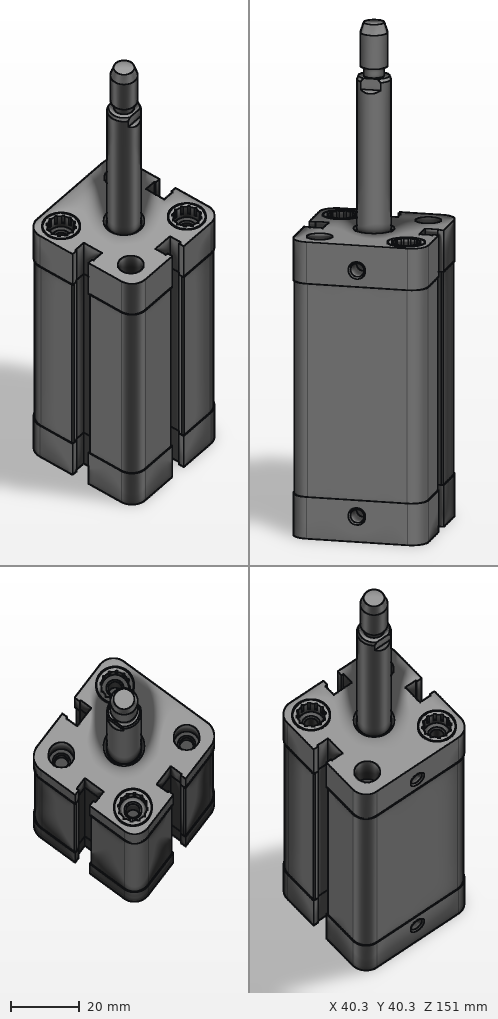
import cadquery as cq

TOTAL_HEIGHT = 151.0
CAP_WIDTH = 40.3
BARREL_WIDTH = 39.9
CORNER_RADIUS = 5.0
CYLINDER_HEIGHT = 89.1
CAP_HEIGHT = 12.5
FRONT_CAP_BOTTOM = CYLINDER_HEIGHT - CAP_HEIGHT

Y_SLOT_MOUTH_WIDTH = 5.9
X_SLOT_MOUTH_WIDTH = 5.3
SLOT_INNER_WIDTH = 6.8
SLOT_DEPTH = 5.7
SLOT_LIP = 1.8
BARREL_MOUTH_CHAMFER = 0.5
Y_SLOT_ANGLES = (90, 270)

THREAD_CORE_DIAMETER = 4.1
THREAD_RIM_DIAMETER = 5.1

HOLE_OFFSET = 13.0
HOLE_DIAMETER = 7.5
HOLE_DEPTH = 9.0
RING_GROOVE_DIAMETER = 11.2
RING_GROOVE_INNER_DIAMETER = 10.7
RING_GROOVE_DEPTH = 0.5
SOCKET_DIAMETER = 8.0
SOCKET_DEPTH = 4.2
FLUTE_DEPTH = 2.9
FLUTE_COUNT = 12
FLUTE_DIAMETER = 0.8
PLAIN_CORNERS = ((-1, 1), (1, -1))
SOCKET_CORNERS = ((-1, -1), (1, 1))

PORT_DEPTH = 7.5
REAR_PORT_HEIGHT = 7.7
FRONT_PORT_HEIGHT = 81.5

ROD_DIAMETER = 10.0
ROD_RECESS_DIAMETER = 10.4
ROD_RECESS_DEPTH = 1.5
ROD_RIM_DIAMETER = 12.0
STUD_DIAMETER = 8.0
STUD_CHAMFER_HEIGHT = 3.0
STUD_UNDERCUT_HEIGHT = 0.3
NECK_DIAMETER = 6.0
SHOULDER_HEIGHT = 135.0
NECK_LENGTH = 2.5
TIP_DIAMETER = NECK_DIAMETER
SHOULDER_CHAMFER_WIDTH = 0.5
SHOULDER_CHAMFER_HEIGHT = 1.0
FLAT_SPACING = 8.0
FLAT_LENGTH = 3.3


def rounded_block(width, bottom, height):
    """Square block with rounded upright edges, centred on the Z axis."""
    return (
        cq.Workplane("XY", origin=(0, 0, bottom))
        .rect(width, width)
        .extrude(height)
        .edges("|Z")
        .fillet(CORNER_RADIUS)
    )


def slot_cutter(width, bottom, height, mouth_width, mouth_chamfer):
    """Cutter for one upright slot opening toward +X in a block of the given width."""
    face = width / 2
    floor = CAP_WIDTH / 2 - SLOT_DEPTH
    lip = CAP_WIDTH / 2 - SLOT_LIP
    mouth = mouth_width / 2
    inner = SLOT_INNER_WIDTH / 2
    half_outline = [(floor, inner), (lip, inner), (lip, mouth)]
    if mouth_chamfer > 0:
        half_outline.append((face - mouth_chamfer, mouth))
    half_outline.append((face, mouth + mouth_chamfer))
    mirrored = [(x, -y) for x, y in reversed(half_outline)]
    return (
        cq.Workplane("XY", origin=(0, 0, bottom))
        .polyline(half_outline + mirrored)
        .close()
        .extrude(height)
    )


def slotted_block(width, bottom, height, mouth_chamfer=0.0):
    """Rounded block with the three sensor slots cut along its full height."""
    block = rounded_block(width, bottom, height)
    block = block.cut(slot_cutter(width, bottom, height, X_SLOT_MOUTH_WIDTH, mouth_chamfer))
    cutter = slot_cutter(width, bottom, height, Y_SLOT_MOUTH_WIDTH, mouth_chamfer)
    for angle in Y_SLOT_ANGLES:
        block = block.cut(cutter.rotate((0, 0, 0), (0, 0, 1), angle))
    return block


def revolved(profile):
    """Solid of revolution about the Z axis from (radius, height) points."""
    return cq.Workplane("XZ").polyline(profile).close().revolve(360, (0, 0, 0), (0, 1, 0))


def hole_cutter(x, y, top, diameter, depth):
    """Round cutter going down from the given height."""
    return cq.Workplane("XY", origin=(x, y, top)).circle(diameter / 2).extrude(-depth)


def countersunk_cutter(depth):
    """Threaded hole going down from the origin, with a 45 degree countersink."""
    rim = THREAD_RIM_DIAMETER / 2
    core = THREAD_CORE_DIAMETER / 2
    profile = [(0, 0), (rim, 0), (core, core - rim), (core, -depth), (0, -depth)]
    return revolved(profile)


def port_cutter(height):
    """Air port entering from the -X side."""
    port = countersunk_cutter(PORT_DEPTH).rotate((0, 0, 0), (0, 1, 0), -90)
    return port.translate((-CAP_WIDTH / 2, 0, height))


def make_rear_cap():
    cap = slotted_block(CAP_WIDTH, 0, CAP_HEIGHT)
    return cap.cut(port_cutter(REAR_PORT_HEIGHT))


def make_barrel():
    height = FRONT_CAP_BOTTOM - CAP_HEIGHT
    return slotted_block(BARREL_WIDTH, CAP_HEIGHT, height, BARREL_MOUTH_CHAMFER)


def stepped_hole_cutter(x, y, diameter, depth):
    """Round hole with a threaded hole in its floor, leading down through the cap."""
    hole = hole_cutter(x, y, CYLINDER_HEIGHT, diameter, depth)
    thread = countersunk_cutter(CAP_HEIGHT - depth).translate((x, y, CYLINDER_HEIGHT - depth))
    return hole.union(thread)


def socket_cutter(x, y):
    """Fluted socket above a stepped hole, with a thin ring groove around it."""
    groove = hole_cutter(x, y, CYLINDER_HEIGHT, RING_GROOVE_DIAMETER, RING_GROOVE_DEPTH)
    groove = groove.cut(
        hole_cutter(x, y, CYLINDER_HEIGHT, RING_GROOVE_INNER_DIAMETER, RING_GROOVE_DEPTH)
    )
    flutes = (
        cq.Workplane("XY", origin=(x, y, CYLINDER_HEIGHT))
        .polarArray(SOCKET_DIAMETER / 2, 0, 360, FLUTE_COUNT)
        .circle(FLUTE_DIAMETER / 2)
        .extrude(-FLUTE_DEPTH)
    )
    return stepped_hole_cutter(x, y, SOCKET_DIAMETER, SOCKET_DEPTH).union(flutes).union(groove)


def rod_bore_cutter():
    """Bore fitting the rod, with a narrow clearance recess and a countersunk rim on top."""
    bore = ROD_DIAMETER / 2
    recess = ROD_RECESS_DIAMETER / 2
    rim = ROD_RIM_DIAMETER / 2
    recess_floor = CYLINDER_HEIGHT - ROD_RECESS_DEPTH
    profile = [
        (0, FRONT_CAP_BOTTOM),
        (bore, FRONT_CAP_BOTTOM),
        (bore, recess_floor),
        (recess, recess_floor),
        (recess, CYLINDER_HEIGHT - (rim - recess)),
        (rim, CYLINDER_HEIGHT),
        (0, CYLINDER_HEIGHT),
    ]
    return revolved(profile)


def make_front_cap():
    cap = slotted_block(CAP_WIDTH, FRONT_CAP_BOTTOM, CAP_HEIGHT)
    for x_side, y_side in PLAIN_CORNERS:
        x = x_side * HOLE_OFFSET
        y = y_side * HOLE_OFFSET
        cap = cap.cut(stepped_hole_cutter(x, y, HOLE_DIAMETER, HOLE_DEPTH))
    for x_side, y_side in SOCKET_CORNERS:
        cap = cap.cut(socket_cutter(x_side * HOLE_OFFSET, y_side * HOLE_OFFSET))
    cap = cap.cut(rod_bore_cutter())
    return cap.cut(port_cutter(FRONT_PORT_HEIGHT))


def rod_flat_cutter():
    """Cutter for the wrench flat on the +X side, ending in a 45 degree slope."""
    flat = FLAT_SPACING / 2
    outside = ROD_DIAMETER
    flat_bottom = SHOULDER_HEIGHT - FLAT_LENGTH
    profile = [
        (flat, SHOULDER_HEIGHT),
        (flat, flat_bottom),
        (outside, flat_bottom - (outside - flat)),
        (outside, SHOULDER_HEIGHT),
    ]
    return cq.Workplane("XZ").polyline(profile).close().extrude(ROD_DIAMETER / 2, both=True)


def make_rod():
    rod_radius = ROD_DIAMETER / 2
    stud_bottom = SHOULDER_HEIGHT + NECK_LENGTH
    profile = [
        (0, FRONT_CAP_BOTTOM),
        (rod_radius, FRONT_CAP_BOTTOM),
        (rod_radius, SHOULDER_HEIGHT - SHOULDER_CHAMFER_HEIGHT),
        (rod_radius - SHOULDER_CHAMFER_WIDTH, SHOULDER_HEIGHT),
        (NECK_DIAMETER / 2, SHOULDER_HEIGHT),
        (NECK_DIAMETER / 2, stud_bottom),
        (STUD_DIAMETER / 2, stud_bottom + STUD_UNDERCUT_HEIGHT),
        (STUD_DIAMETER / 2, TOTAL_HEIGHT - STUD_CHAMFER_HEIGHT),
        (TIP_DIAMETER / 2, TOTAL_HEIGHT),
        (0, TOTAL_HEIGHT),
    ]
    rod = revolved(profile)
    for angle in (0, 180):
        rod = rod.cut(rod_flat_cutter().rotate((0, 0, 0), (0, 0, 1), angle))
    return rod


rear_cap = make_rear_cap()
barrel = make_barrel()
front_cap = make_front_cap()
rod = make_rod()

result = cq.Compound.makeCompound([rear_cap.val(), barrel.val(), front_cap.val(), rod.val()])